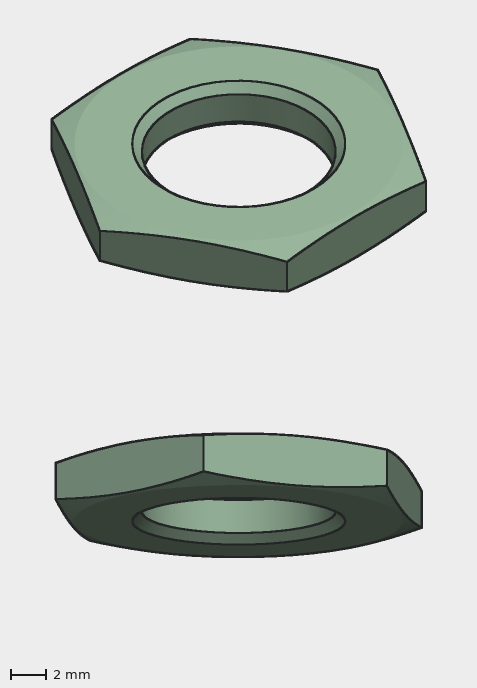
import cadquery as cq
import math

across_corners = 21.95
thickness = 3.0
face_diameter = 18.52
corner_chamfer_angle = 15.0
bore_diameter = 10.93
bore_mouth_diameter = 12.02

corner_radius = across_corners / 2
face_radius = face_diameter / 2
half_thickness = thickness / 2
corner_drop = (corner_radius - face_radius) * math.tan(math.radians(corner_chamfer_angle))
bore_chamfer = (bore_mouth_diameter - bore_diameter) / 2


def hexagonal_blank():
    return (
        cq.Workplane("XY")
        .workplane(offset=-half_thickness)
        .transformed(rotate=(0, 0, 90))
        .polygon(6, across_corners)
        .extrude(thickness)
    )


def corner_envelope():
    """Round body with conical rims that trims the hexagon's corners."""
    rim_height = half_thickness - corner_drop
    return (
        cq.Workplane("XZ")
        .moveTo(0, -half_thickness)
        .lineTo(face_radius, -half_thickness)
        .lineTo(corner_radius, -rim_height)
        .lineTo(corner_radius, rim_height)
        .lineTo(face_radius, half_thickness)
        .lineTo(0, half_thickness)
        .close()
        .revolve(360, (0, 0, 0), (0, 1, 0))
    )


def countersunk_bore():
    """Through bore opening out conically at both faces."""
    bore_radius = bore_diameter / 2
    mouth_radius = bore_mouth_diameter / 2
    straight_height = half_thickness - bore_chamfer
    return (
        cq.Workplane("XZ")
        .moveTo(0, -half_thickness)
        .lineTo(mouth_radius, -half_thickness)
        .lineTo(bore_radius, -straight_height)
        .lineTo(bore_radius, straight_height)
        .lineTo(mouth_radius, half_thickness)
        .lineTo(0, half_thickness)
        .close()
        .revolve(360, (0, 0, 0), (0, 1, 0))
    )


result = hexagonal_blank().intersect(corner_envelope()).cut(countersunk_bore())